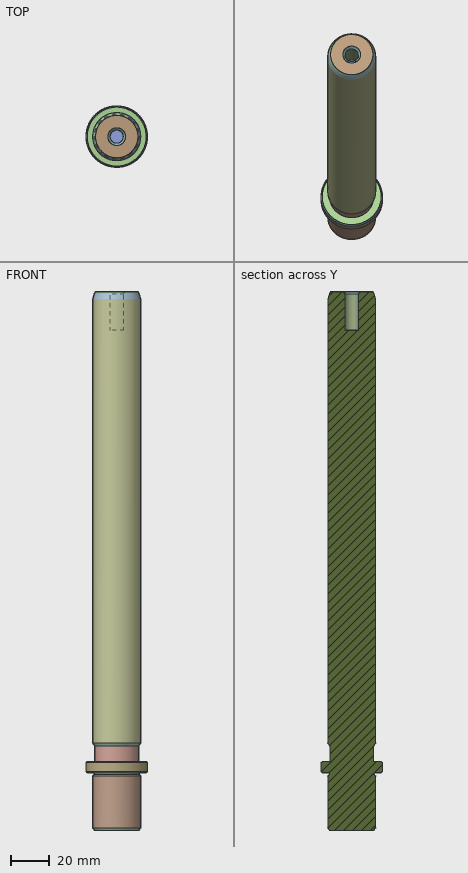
import cadquery as cq

total_length = 280.0
shaft_radius = 25.0 / 2

shank_length = 30.0
shank_chamfer_width = 1.0
shank_chamfer_height = 1.5

collar_radius = 32.0 / 2
collar_thickness = 6.0
collar_chamfer = 0.7
collar_top = shank_length + collar_thickness

neck_radius = 23.0 / 2
neck_length = 9.5
neck_top = collar_top + neck_length
neck_taper_height = 1.5
undercut_radius = 23.5 / 2
undercut_length = 0.8
undercut_taper_height = 0.8

lead_taper_height = 4.0
lead_radius = 23.4 / 2
end_chamfer_width = 0.7
end_chamfer_height = 1.1

core_radius = 6.8 / 2
core_depth = 20.0
core_chamfer = 1.2


def make_pillar():
    """Revolve the half profile (radius, height) about the Z axis."""
    undercut_bottom = shank_length - undercut_length
    profile = [
        (0, 0),
        (shaft_radius - shank_chamfer_width, 0),
        (shaft_radius, shank_chamfer_height),
        (shaft_radius, undercut_bottom - undercut_taper_height),
        (undercut_radius, undercut_bottom),
        (undercut_radius, shank_length),
        (collar_radius - collar_chamfer, shank_length),
        (collar_radius, shank_length + collar_chamfer),
        (collar_radius, collar_top - collar_chamfer),
        (collar_radius - collar_chamfer, collar_top),
        (neck_radius, collar_top),
        (neck_radius, neck_top - neck_taper_height),
        (shaft_radius, neck_top),
        (shaft_radius, total_length - lead_taper_height),
        (lead_radius, total_length - end_chamfer_height),
        (lead_radius - end_chamfer_width, total_length),
        (0, total_length),
    ]
    return cq.Workplane("XZ").polyline(profile).close().revolve(360, (0, 0), (0, 1))


def make_core_hole():
    """Blind hole with a 45 degree mouth chamfer, cut down from the upper end."""
    profile = [
        (0, total_length),
        (core_radius + core_chamfer, total_length),
        (core_radius, total_length - core_chamfer),
        (core_radius, total_length - core_depth),
        (0, total_length - core_depth),
    ]
    return cq.Workplane("XZ").polyline(profile).close().revolve(360, (0, 0), (0, 1))


result = make_pillar().cut(make_core_hole())